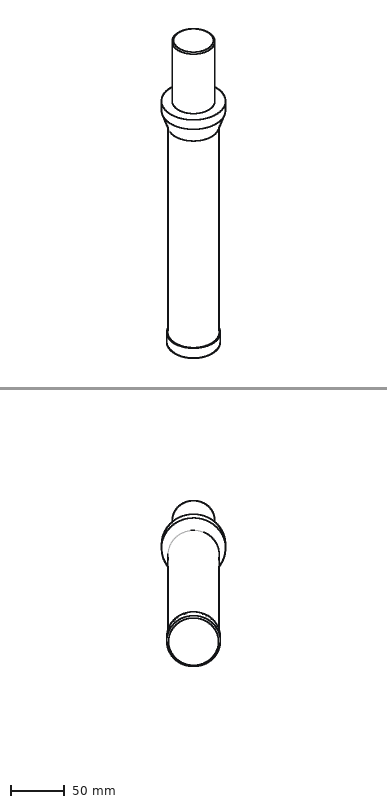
import cadquery as cq

total_length = 350.0
rod_length = 70.0
collar_height = 11.0
taper_height = 18.0
foot_height = 13.0

rod_diameter = 40.0
collar_diameter = 60.0
barrel_diameter = 48.0
foot_diameter = 50.0

rod_chamfer = 1.5
foot_chamfer = 1.8

collar_top = total_length - rod_length
collar_bottom = collar_top - collar_height
taper_bottom = collar_bottom - taper_height
collar_radius = collar_diameter / 2
barrel_radius = barrel_diameter / 2
foot_radius = foot_diameter / 2


def make_housing():
    """Turned housing: foot, long barrel, tapered shoulder and collar."""
    profile = (
        cq.Workplane("XZ")
        .moveTo(0, 0)
        .lineTo(foot_radius - foot_chamfer, 0)
        .lineTo(foot_radius, foot_chamfer)
        .lineTo(foot_radius, foot_height)
        .lineTo(barrel_radius, foot_height)
        .lineTo(barrel_radius, taper_bottom)
        .lineTo(collar_radius, collar_bottom)
        .lineTo(collar_radius, collar_top)
        .lineTo(0, collar_top)
        .close()
    )
    return profile.revolve(360, (0, 0, 0), (0, 1, 0))


def make_rod():
    """Round rod standing on the collar, chamfered at its free end."""
    return (
        cq.Workplane("XY")
        .workplane(offset=collar_top)
        .circle(rod_diameter / 2)
        .extrude(rod_length)
        .faces(">Z")
        .chamfer(rod_chamfer)
    )


housing = make_housing()
rod = make_rod()

result = cq.Compound.makeCompound([housing.val(), rod.val()])